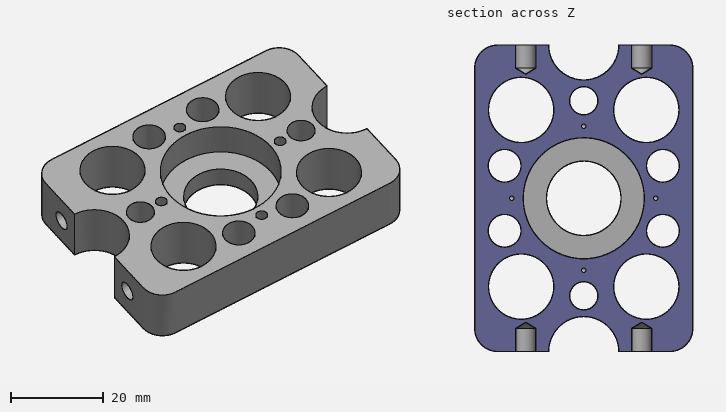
import cadquery as cq
import math

width = 47.0
length = 66.0
thickness = 13.0
corner_radius = 5.0
notch_radius = 7.5

bore_diameter = 16.0
counterbore_diameter = 26.0
counterbore_depth = 8.0

large_hole_diameter = 14.0
large_hole_x = 13.45
large_hole_y = 19.0
side_hole_diameter = 7.0
side_hole_x = 17.0
side_hole_y = 7.0
end_hole_diameter = 6.0
end_hole_y = 21.0

drill_point_angle = 118.0
top_drill_diameter = 2.5
top_drill_depth = 6.0
top_drill_circle_radius = 15.5
end_drill_diameter = 4.2
end_drill_depth = 5.0
end_drill_x = 12.5


def mirrored_points(x, y):
    """Four points mirrored about both centre lines."""
    return [(sx * x, sy * y) for sx in (-1, 1) for sy in (-1, 1)]


def through_holes(points, diameter):
    """Vertical cylinders through the whole plate."""
    return cq.Workplane("XY").pushPoints(points).circle(diameter / 2).extrude(thickness)


def drilled_hole(position, direction, diameter, depth):
    """Cylinder of the given depth ending in a drill-point cone."""
    radius = diameter / 2
    point_depth = radius / math.tan(math.radians(drill_point_angle / 2))
    start = cq.Vector(*position)
    axis = cq.Vector(*direction)
    shank = cq.Solid.makeCylinder(radius, depth, start, axis)
    point = cq.Solid.makeCone(radius, 0, point_depth, start + axis * depth, axis)
    return shank.fuse(point)


result = (
    cq.Workplane("XY")
    .box(width, length, thickness, centered=(True, True, False))
    .edges("|Z")
    .fillet(corner_radius)
)

result = result.cut(through_holes([(0, -length / 2), (0, length / 2)], 2 * notch_radius))

result = result.faces(">Z").workplane(origin=(0, 0, 0)).cboreHole(
    bore_diameter, counterbore_diameter, counterbore_depth
)

result = result.cut(through_holes(mirrored_points(large_hole_x, large_hole_y), large_hole_diameter))
result = result.cut(through_holes(mirrored_points(side_hole_x, side_hole_y), side_hole_diameter))
result = result.cut(through_holes([(0, -end_hole_y), (0, end_hole_y)], end_hole_diameter))

for x_sign, y_sign in [(1, 0), (0, 1), (-1, 0), (0, -1)]:
    mouth = (x_sign * top_drill_circle_radius, y_sign * top_drill_circle_radius, thickness)
    result = result.cut(drilled_hole(mouth, (0, 0, -1), top_drill_diameter, top_drill_depth))

for x_sign in (-1, 1):
    for y_sign in (-1, 1):
        mouth = (x_sign * end_drill_x, y_sign * length / 2, thickness / 2)
        result = result.cut(drilled_hole(mouth, (0, -y_sign, 0), end_drill_diameter, end_drill_depth))